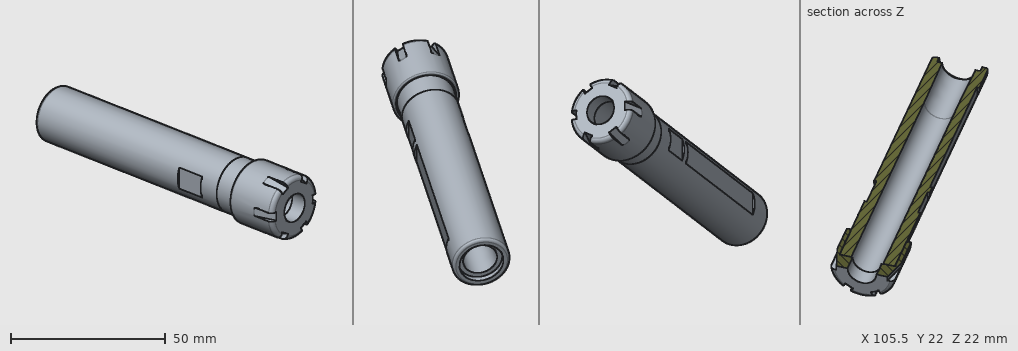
import cadquery as cq
import math

overall_length = 105.54

shank_diameter = 19.05
shank_length = 80.0
shank_end_radius = 1.0
thread_diameter = 19.0
body_length = 100.0

counterbore_diameter = 14.5
counterbore_depth = 2.0
taper_mouth_diameter = 11.21
taper_length = 20.0
bore_diameter = 10.72

flat_offset = 8.75
clamping_flat_start = 10.0
clamping_flat_end = 60.0
wrench_flat_start = 62.8
wrench_flat_end = 72.9

nut_diameter = 22.0
nut_radius = nut_diameter / 2
nut_start = 87.12
nut_back_radius = 0.5
nut_front_radius = 1.5
nut_entry_chamfer = 0.5
nut_opening_diameter = 9.73

slot_count = 6
slot_width = 3.0
slot_start = 97.7
slot_floor_angle = 16.5
first_slot_angle = 90.0


def cylinder(start, end, diameter):
    """Solid cylinder on the X axis between two X positions."""
    return cq.Workplane("YZ", origin=(start, 0, 0)).circle(diameter / 2).extrude(end - start)


def cone(start, start_diameter, end_diameter, length):
    """Solid truncated cone on the X axis, running toward +X."""
    axis = cq.Vector(1, 0, 0)
    origin = cq.Vector(start, 0, 0)
    return cq.Workplane(cq.Solid.makeCone(start_diameter / 2, end_diameter / 2, length, origin, axis))


def side_flat(start, end, side):
    """Block that mills a flat on the +Y (side = 1) or -Y (side = -1) face of the shank."""
    block_depth = shank_diameter / 2
    block = cq.Workplane("XY").box(end - start, block_depth, shank_diameter)
    return block.translate(((start + end) / 2, side * (flat_offset + block_depth / 2), 0))


def make_body():
    """Shank and threaded nose with a through bore and three milled flats."""
    shank = cylinder(0, shank_length, shank_diameter).faces("<X").edges().fillet(shank_end_radius)
    body = shank.union(cylinder(shank_length, body_length, thread_diameter))

    body = body.cut(cylinder(0, counterbore_depth, counterbore_diameter))
    body = body.cut(cone(counterbore_depth, taper_mouth_diameter, bore_diameter, taper_length))
    body = body.cut(cylinder(0, body_length, bore_diameter))

    body = body.cut(side_flat(clamping_flat_start, clamping_flat_end, 1))
    for side in (1, -1):
        body = body.cut(side_flat(wrench_flat_start, wrench_flat_end, side))
    return body


def slot_cutter():
    """Wedge on the +Z side whose floor drops toward the front of the nut."""
    slot_length = overall_length - slot_start
    floor_drop = slot_length * math.tan(math.radians(slot_floor_angle))
    return (
        cq.Workplane("XZ")
        .moveTo(slot_start, nut_radius)
        .lineTo(overall_length, nut_radius - floor_drop)
        .lineTo(overall_length, nut_radius)
        .close()
        .extrude(slot_width / 2, both=True)
    )


def make_nut():
    """Slotted nut screwed over the nose, with a front wall around its opening."""
    nut = cylinder(nut_start, overall_length, nut_diameter)
    nut = nut.faces("<X").edges().fillet(nut_back_radius)
    nut = nut.faces(">X").edges().fillet(nut_front_radius)
    nut = nut.cut(cylinder(nut_start, body_length, thread_diameter))
    entry_diameter = thread_diameter + 2 * nut_entry_chamfer
    nut = nut.cut(cone(nut_start, entry_diameter, thread_diameter, nut_entry_chamfer))
    nut = nut.cut(cylinder(body_length, overall_length, nut_opening_diameter))

    cutter = slot_cutter()
    for index in range(slot_count):
        angle = first_slot_angle + index * 360 / slot_count
        nut = nut.cut(cutter.rotate((0, 0, 0), (1, 0, 0), angle))
    return nut


chuck_body = make_body()
clamping_nut = make_nut()

result = cq.Compound.makeCompound([chuck_body.val(), clamping_nut.val()])